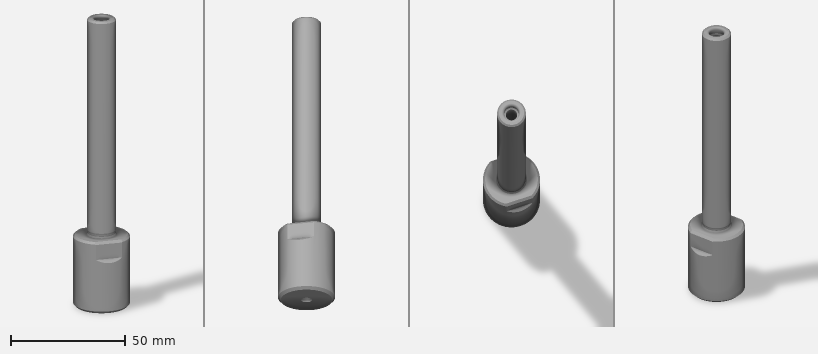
import cadquery as cq
import math

total_length = 133.0
body_diameter = 25.0
body_length = 33.0
rod_diameter = 12.6

base_chamfer = 1.2
shoulder_chamfer = 0.9
rod_tip_chamfer = 0.8

relief_diameter = 12.2
relief_mouth_diameter = 13.5
relief_top = body_length + 2.1
relief_straight_top = body_length + 1.5
relief_straight_bottom = body_length + 0.7

flat_width = 22.0
flat_bottom = 25.0
flat_depth = (body_diameter - flat_width) / 2
flat_edge_chamfer = 1.0

bore_diameter = 4.9
counterbore_diameter = 6.5
counterbore_depth = 2.8
counterbore_cone_depth = 0.47
mouth_round = 1.0


def make_turned_shape():
    """Body, relief and rod turned about Z, including the stepped bore."""
    body_radius = body_diameter / 2
    rod_radius = rod_diameter / 2
    bore_radius = bore_diameter / 2
    counterbore_radius = counterbore_diameter / 2
    outer_outline = [
        (bore_radius, 0),
        (body_radius - base_chamfer, 0),
        (body_radius, base_chamfer),
        (body_radius, body_length - shoulder_chamfer),
        (body_radius - shoulder_chamfer, body_length),
        (relief_mouth_diameter / 2, body_length),
        (relief_diameter / 2, relief_straight_bottom),
        (relief_diameter / 2, relief_straight_top),
        (rod_radius, relief_top),
        (rod_radius, total_length - rod_tip_chamfer),
        (rod_radius - rod_tip_chamfer, total_length),
        (counterbore_radius + mouth_round, total_length),
    ]
    mouth_inset = mouth_round * (1 - math.sqrt(0.5))
    mouth_arc_middle = (counterbore_radius + mouth_inset, total_length - mouth_inset)
    mouth_arc_end = (counterbore_radius, total_length - mouth_round)
    counterbore_floor = total_length - counterbore_depth
    profile = (
        cq.Workplane("XZ")
        .polyline(outer_outline)
        .threePointArc(mouth_arc_middle, mouth_arc_end)
        .lineTo(counterbore_radius, counterbore_floor)
        .lineTo(bore_radius, counterbore_floor - counterbore_cone_depth)
        .close()
    )
    return profile.revolve(360, (0, 0), (0, 1))


def make_flat_cutter():
    """Material outside the +X flat, with its 45 degree run-out and top edge chamfer."""
    flat_x = flat_width / 2
    outer_x = flat_x + flat_depth
    section = [
        (flat_x, flat_bottom),
        (outer_x, flat_bottom - flat_depth),
        (outer_x, body_length),
        (flat_x - flat_edge_chamfer, body_length),
        (flat_x, body_length - flat_edge_chamfer),
    ]
    return cq.Workplane("XZ").polyline(section).close().extrude(body_diameter / 2, both=True)


flat_cutter = make_flat_cutter()
result = make_turned_shape().cut(flat_cutter).cut(flat_cutter.mirror("YZ"))